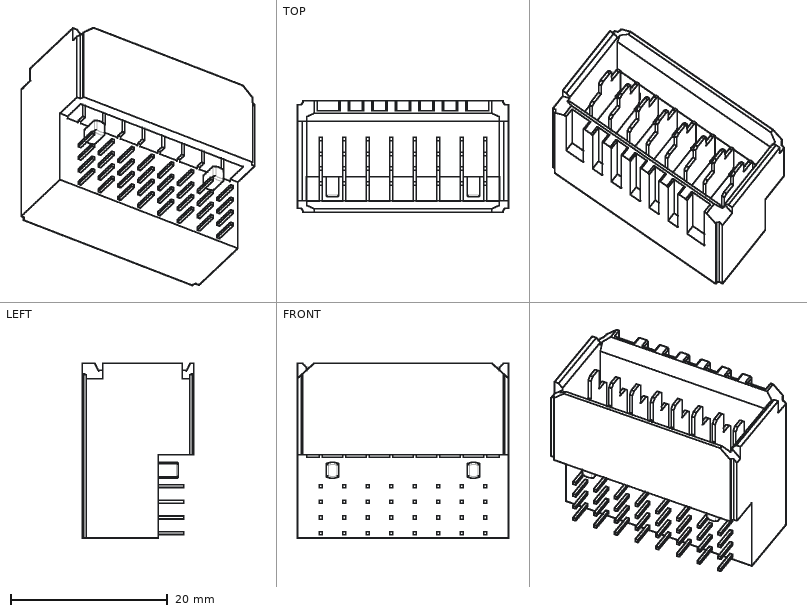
import cadquery as cq


width = 26.95
height = 22.34
total_depth = 14.28
body_depth = 9.73
shroud_bottom = 10.62
half_width = width / 2
back_y = body_depth
front_y = back_y - total_depth

side_wall = 1.17
front_wall = 1.47
back_wall = 2.62
cavity_floor = 10.3
cavity_half_width = half_width - side_wall
cavity_front_y = front_y + front_wall
cavity_back_y = back_y - back_wall

side_bevel = 0.57
end_bevel_run = 1.0
end_bevel_depth = 2.05

corner_run = 2.15
corner_drop = 1.98
ledge_width = 0.49
relief_width = 0.69
ledge_depth = 0.52
relief_straight = 0.2

block_count = 6
block_width = 1.45
block_chamfer = 0.2
pocket_half_span = 10.97
pocket_depth_y = 1.28
pocket_floor = shroud_bottom

contact_count = 8
contact_pitch = 3.0
contact_thickness = 0.4
blade_center_y = 2.0
tongue_width = 2.27
tongue_top = 21.2
shoulder_width = 6.1
shoulder_top = 17.8
blade_chamfer = 0.45
pin_rows = 4
pin_row_pitch = 2.0
first_pin_z = 0.63
pin_length = 3.25

peg_x = 3 * contact_pitch
peg_z = 8.65
peg_width = 1.6
peg_height = 2.04
peg_side_height = 1.65
peg_length = 2.57
peg_tip_radius = 0.25

overlap = 0.5


def box(x_min, x_max, y_min, y_max, z_min, z_max):
    """Axis-aligned box given by its limits."""
    size = (x_max - x_min, y_max - y_min, z_max - z_min)
    return cq.Workplane("XY").box(*size, centered=False).translate((x_min, y_min, z_min))


def prism_along_y(points, y_min, y_max):
    """Extrude an (x, z) outline from y_min to y_max."""
    plane = cq.Workplane("XZ", origin=(0, y_max, 0))
    return plane.polyline(points).close().extrude(y_max - y_min)


def prism_along_x(points, x_min, x_max):
    """Extrude a (y, z) outline from x_min to x_max."""
    plane = cq.Workplane("YZ", origin=(x_min, 0, 0))
    return plane.polyline(points).close().extrude(x_max - x_min)


def both_sides(shape):
    """A shape together with its mirror image across X = 0."""
    return shape.union(shape.mirror("YZ"))


def contact_positions(count):
    """X positions of a centred row at the contact pitch."""
    return [(i - (count - 1) / 2) * contact_pitch for i in range(count)]


def make_outer_body():
    """L-shaped block: the shroud overhangs the mounting face."""
    outline = [
        (0, 0),
        (back_y, 0),
        (back_y, height),
        (front_y, height),
        (front_y, shroud_bottom),
        (0, shroud_bottom),
    ]
    return prism_along_x(outline, -half_width, half_width)


def make_cavity():
    """Shroud opening; it runs out of the open bottom ahead of the mounting face."""
    mouth = box(
        -cavity_half_width, cavity_half_width,
        cavity_front_y, cavity_back_y,
        cavity_floor, height,
    )
    side_outline = [
        (cavity_half_width - overlap, height),
        (cavity_half_width + side_bevel, height),
        (cavity_half_width, height - side_bevel),
        (cavity_half_width - overlap, height - side_bevel),
    ]
    side_bevels = both_sides(prism_along_y(side_outline, cavity_front_y, cavity_back_y))
    end_outline = [
        (cavity_front_y - end_bevel_run, height),
        (cavity_back_y + end_bevel_run, height),
        (cavity_back_y, height - end_bevel_depth),
        (cavity_front_y, height - end_bevel_depth),
    ]
    end_bevels = prism_along_x(end_outline, -cavity_half_width, cavity_half_width)
    return mouth.union(side_bevels).union(end_bevels)


def make_corner_cuts():
    """Sloping cuts that take the top corners off the front and back walls."""
    outline = [
        (half_width - corner_run, height),
        (half_width, height),
        (half_width, height - corner_drop),
    ]
    front_cut = prism_along_y(outline, front_y, cavity_front_y)
    back_cut = prism_along_y(outline, cavity_back_y, back_y)
    return both_sides(front_cut.union(back_cut))


def make_edge_relief(wall_y, inward):
    """Stepped relief down the vertical edges of one wall; inward is the sign of Y into the part."""
    outline = [
        (half_width, wall_y),
        (half_width, wall_y + inward * ledge_depth),
        (half_width - ledge_width, wall_y + inward * ledge_depth),
        (half_width - relief_width, wall_y + inward * relief_straight),
        (half_width - relief_width, wall_y),
    ]
    return both_sides(cq.Workplane("XY").polyline(outline).close().extrude(height))


def make_back_pockets():
    """Pockets in the top of the back wall, leaving chamfered blocks between them."""
    pocket_y = back_y - pocket_depth_y
    pockets = box(-pocket_half_span, pocket_half_span, pocket_y, back_y, pocket_floor, height)
    for x in contact_positions(block_count):
        block = box(
            x - block_width / 2, x + block_width / 2,
            pocket_y, back_y,
            pocket_floor, height,
        )
        pockets = pockets.cut(block.faces(">Z").edges("|Y").chamfer(block_chamfer))
    return pockets


def make_contact(x):
    """Stepped blade, its stem down to the cavity floor, and its column of pins."""
    x_min = x - contact_thickness / 2
    x_max = x + contact_thickness / 2

    def plate(plate_width, top):
        blank = box(
            x_min, x_max,
            blade_center_y - plate_width / 2, blade_center_y + plate_width / 2,
            shroud_bottom, top,
        )
        return blank.faces(">Z").edges("|X").chamfer(blade_chamfer)

    contact = plate(shoulder_width, shoulder_top).union(plate(tongue_width, tongue_top))
    stem_back_y = blade_center_y + shoulder_width / 2
    stem = box(x_min, x_max, 0, stem_back_y, cavity_floor - overlap, shroud_bottom)
    contact = contact.union(stem)
    for row in range(pin_rows):
        z = first_pin_z + row * pin_row_pitch
        z_min = z - contact_thickness / 2
        z_max = z + contact_thickness / 2
        contact = contact.union(box(x_min, x_max, -pin_length, overlap, z_min, z_max))
    return contact


def make_peg(x):
    """Flat-sided peg with bowed top and bottom and a rounded tip."""
    half_w = peg_width / 2
    half_side = peg_side_height / 2
    half_h = peg_height / 2
    peg = (
        cq.Workplane("XZ", origin=(x, overlap, peg_z))
        .moveTo(-half_w, -half_side)
        .threePointArc((0, -half_h), (half_w, -half_side))
        .lineTo(half_w, half_side)
        .threePointArc((0, half_h), (-half_w, half_side))
        .close()
        .extrude(peg_length + overlap)
    )
    return peg.faces("<Y").edges().fillet(peg_tip_radius)


result = make_outer_body().cut(make_cavity()).cut(make_corner_cuts())
result = result.cut(make_edge_relief(front_y, 1)).cut(make_edge_relief(back_y, -1))
result = result.cut(make_back_pockets())
for contact_x in contact_positions(contact_count):
    result = result.union(make_contact(contact_x))
for side in (-1, 1):
    result = result.union(make_peg(side * peg_x))